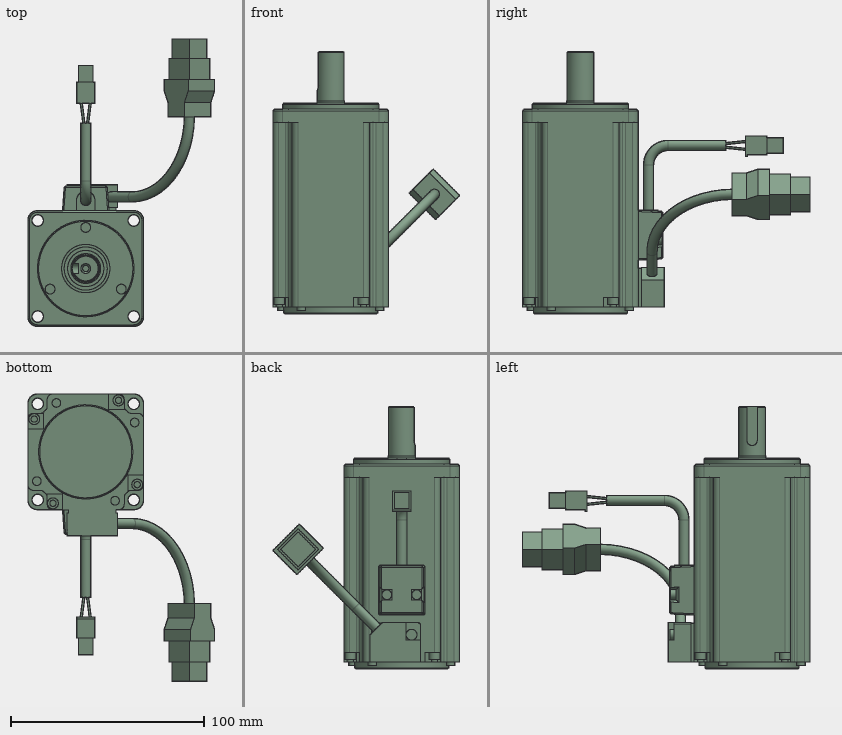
import cadquery as cq
import math


total_width = 96.8
total_depth = 149.0

motor_width = 60.0
half_width = motor_width / 2
notch_floor = 20.0
notch_bevel = 2.5
face_edge_radius = 3.0
bevel_radius = 2.1
flange_top = 102.5
flange_thickness = 6.9
flange_bottom = flange_top - flange_thickness
flange_corner_radius = 5.0
flange_edge_chamfer = 0.9
mount_hole_diameter = 5.8
mount_hole_spacing = 49.7

pilot_radius = 25.0
pilot_top = 105.6
rim_chamfer = 0.6
pilot_screw_circle = 21.3
pilot_screw_radius = 2.5
pilot_screw_recess = 0.5
shaft_radius = 7.0
shaft_top = 132.4
seat_radius = 7.1
seat_top = 106.6
key_width = 5.4
key_length = 20.3
key_floor = 3.9
centre_hole_radius = 1.6
centre_hole_depth = 9.0
countersink_diameter = 5.0
countersink_angle = 90

seal_steps = ((12.5, 0.5), (11.2, 2.2))
seal_lip_outer = 9.4
seal_lip_inner = 7.7
seal_lip_height = 1.3

cap_radius = 24.4
cap_height = 3.5
pocket_start = 11.9
pocket_floor = 21.9
pocket_height = 4.9
screw_x, screw_y = 17.0, -26.7
screw_radius = 2.8
screw_bottom = 1.3
screw_tip_radius = 1.6
foot_x, foot_y = 25.3, -15.2
foot_radius = 2.2
foot_height = 1.8

exit_bottom, exit_top = 24.3, 50.2
exit_root_width, exit_tip_width = 24.1, 22.3
exit_tip_height = 24.7
exit_reach = 42.7
exit_edge_chamfer = 0.7
exit_pocket_height = 8.3
exit_pocket_z = 34.8
exit_pocket_mouth = 11.6
exit_pocket_floor = 39.3
exit_pocket_depth = 6.5
exit_pocket_bevel = 1.5
exit_screw_x = 7.7
exit_screw_radius = 2.5
exit_screw_top = 42.3
pad_radius = 4.8
cable_radius = 2.7
power_y = 35.3
power_bend_start = 73.5
power_bend_radius = 10.1
power_cable_end = 75.4
power_axis_z = power_bend_start + power_bend_radius

power_body_start, power_body_end, power_tip_end = 85.5, 96.5, 105.1
power_body_width, power_body_height = 9.5, 9.8
power_tip_width, power_tip_height = 7.7, 8.2
power_lip_length, power_lip_drop = 1.0, 0.9
wire_radius = 0.6
wire_spread_x, wire_spread_z = 2.4, 2.1
wire_root = 0.9

encoder_left, encoder_right = -9.7, 16.5
encoder_near, encoder_far = 31.5, 43.5
encoder_base_inset = 0.7
encoder_base_top = 20.1
encoder_top = 20.5
encoder_chamfer = 0.9
encoder_cable_bevel = 6.5
encoder_pocket_width = 7.5
encoder_pocket_floor = 40.5
encoder_pocket_bottom = 11.3
encoder_screw_radius = 2.8
encoder_screw_height = 2.1
encoder_cable_y = 37.1
encoder_cable_bend = 42.1
encoder_cable_straight = 17.1

plug_tail_start, plug_taper_start, plug_taper_end = 78.5, 86.0, 92.0
plug_main_end, plug_mid_end = 98.0, 108.9
plug_tip_end = total_depth - half_width
plug_main_width, plug_main_height = 17.7, 19.4
plug_tail_width = 12.0
plug_mid_size = 15.0
plug_tip_size = 12.8
plug_half_diagonal = (plug_main_width + plug_main_height) / 2 * math.sin(math.pi / 4)
plug_x = total_width - half_width - plug_half_diagonal
plug_z = 58.4


def block(x_range, y_range, z_range):
    """Axis-aligned block between the given limits."""
    sizes = [high - low for low, high in (x_range, y_range, z_range)]
    corner = (x_range[0], y_range[0], z_range[0])
    return cq.Workplane("XY").box(*sizes, centered=False).translate(corner)


def cylinder(x, y, z_range, radius):
    """Vertical cylinder."""
    low, high = z_range
    return cq.Workplane("XY", origin=(x, y, low)).circle(radius).extrude(high - low)


def rod(start, end, radius):
    """Straight round rod between two points."""
    start, end = cq.Vector(*start), cq.Vector(*end)
    return cq.Workplane(cq.Solid.makeCylinder(radius, (end - start).Length, start, end - start))


def four_around(shape):
    """Four copies of a shape, a quarter turn apart around the shaft axis."""
    group = shape
    for turn in range(1, 4):
        group = group.union(shape.rotate((0, 0, 0), (0, 0, 1), 90 * turn))
    return group


def housing():
    """Square column with a rounded, bevelled notch along each corner."""
    outside = motor_width
    bevel_end = notch_floor + notch_bevel
    notch = (
        cq.Workplane("XY")
        .polyline([(bevel_end, notch_floor), (outside, notch_floor), (outside, outside),
                   (notch_floor, outside), (notch_floor, bevel_end)])
        .close()
        .extrude(flange_bottom)
    )
    column = block((-half_width, half_width), (-half_width, half_width), (0, flange_bottom))
    column = column.cut(four_around(notch))

    def on_face(edge):
        centre = edge.Center()
        return max(abs(centre.x), abs(centre.y)) > half_width - face_edge_radius

    column = column.edges("|Z").filter(on_face).fillet(face_edge_radius)

    def on_bevel(edge):
        centre = edge.Center()
        return max(abs(centre.x), abs(centre.y)) < bevel_end + bevel_radius

    return column.edges("|Z").filter(on_bevel).fillet(bevel_radius)


def bottom_details(column):
    """Screw pockets with their screws, feet and the round end cap."""
    pocket = block((pocket_start, notch_floor), (-motor_width, -pocket_floor), (0, pocket_height))
    screw = cylinder(screw_x, screw_y, (screw_bottom, pocket_height), screw_radius)
    screw = screw.union(cylinder(screw_x, screw_y, (0, pocket_height), screw_tip_radius))
    foot = cylinder(foot_x, foot_y, (-foot_height, 0), foot_radius)
    cap = cylinder(0, 0, (-cap_height, 0), cap_radius).faces("<Z").chamfer(rim_chamfer)
    column = column.cut(four_around(pocket))
    return column.union(four_around(screw)).union(four_around(foot)).union(cap)


def flange():
    """Mounting flange with the pilot, its screw recesses and the shaft seal."""
    plate = (
        cq.Workplane("XY", origin=(0, 0, flange_bottom))
        .rect(motor_width, motor_width)
        .extrude(flange_thickness)
        .edges("|Z").fillet(flange_corner_radius)
        .faces(">Z").edges().chamfer(flange_edge_chamfer)
    )
    pilot = cylinder(0, 0, (flange_bottom, pilot_top), pilot_radius).faces(">Z").chamfer(rim_chamfer)
    recesses = (
        cq.Workplane("XY", origin=(0, 0, pilot_top))
        .polarArray(pilot_screw_circle, 90, 360, 3)
        .circle(pilot_screw_radius)
        .extrude(-pilot_screw_recess)
    )
    mount_holes = (
        cq.Workplane("XY", origin=(0, 0, flange_bottom))
        .rect(mount_hole_spacing, mount_hole_spacing, forConstruction=True)
        .vertices()
        .circle(mount_hole_diameter / 2)
        .extrude(flange_thickness)
    )
    head = plate.union(pilot).cut(recesses).cut(mount_holes)
    for radius, depth in seal_steps:
        head = head.cut(cylinder(0, 0, (pilot_top - depth, pilot_top), radius))
    seal_floor = pilot_top - seal_steps[-1][1]
    lip = (
        cq.Workplane("XY", origin=(0, 0, seal_floor))
        .circle(seal_lip_outer)
        .circle(seal_lip_inner)
        .extrude(seal_lip_height)
    )
    return head.union(lip)


def shaft():
    """Keyed shaft with a countersunk centre hole."""
    bar = cylinder(0, 0, (flange_bottom, shaft_top), shaft_radius).faces(">Z").chamfer(rim_chamfer)
    bar = bar.faces(">Z").workplane().cskHole(
        2 * centre_hole_radius, countersink_diameter, countersink_angle, centre_hole_depth
    )
    bar = bar.union(cylinder(0, 0, (flange_bottom, seat_top), seat_radius))
    key_end_z = shaft_top - key_length + key_width / 2
    slot = block((-motor_width, -key_floor), (-key_width / 2, key_width / 2), (key_end_z, shaft_top))
    round_end = rod((-motor_width, 0, key_end_z), (-key_floor, 0, key_end_z), key_width / 2)
    return bar.cut(slot).cut(round_end)


def cable_exit():
    """Tapered box on the +Y face with a flat cable pad and a bevelled screw pocket on each side."""
    middle = (exit_top + exit_bottom) / 2
    box = (
        cq.Workplane("XZ", origin=(0, half_width, middle))
        .rect(exit_root_width, exit_top - exit_bottom)
        .workplane(offset=half_width - exit_reach)
        .rect(exit_tip_width, exit_tip_height)
        .loft(combine=True)
    )
    box = box.edges("not <Y").chamfer(exit_edge_chamfer)
    pad = cylinder(0, power_y, (middle, exit_top), pad_radius)
    pad = pad.union(block((-pad_radius, pad_radius), (half_width, power_y), (middle, exit_top)))
    box = box.union(pad)

    pocket_length = 2 * (exit_reach - exit_pocket_floor)
    mouth = (
        cq.Workplane("YZ", origin=(-exit_pocket_mouth, exit_reach, exit_pocket_z))
        .rect(pocket_length + 2 * exit_pocket_bevel, exit_pocket_height)
        .extrude(exit_pocket_bevel, taper=45)
    )
    pocket = (
        cq.Workplane("YZ", origin=(-exit_pocket_mouth, exit_reach, exit_pocket_z))
        .rect(pocket_length, exit_pocket_height - 2 * exit_pocket_bevel)
        .extrude(exit_pocket_depth)
        .union(mouth)
    )
    screw = rod(
        (-exit_screw_x, exit_pocket_floor, exit_pocket_z),
        (-exit_screw_x, exit_screw_top, exit_pocket_z),
        exit_screw_radius,
    )
    box = box.cut(pocket).cut(pocket.mirror("YZ"))
    return box.union(screw).union(screw.mirror("YZ"))


def power_tail():
    """Power cable rising from the exit box, bending to +Y and splitting into four wires."""
    bend_end = power_y + power_bend_radius
    middle = power_bend_radius * math.sin(math.pi / 4)
    path = (
        cq.Workplane("YZ")
        .moveTo(power_y, exit_top - exit_edge_chamfer)
        .lineTo(power_y, power_bend_start)
        .threePointArc((bend_end - middle, power_bend_start + middle), (bend_end, power_axis_z))
        .lineTo(power_cable_end, power_axis_z)
    )
    tail = (
        cq.Workplane("XY", origin=(0, power_y, exit_top - exit_edge_chamfer))
        .circle(cable_radius)
        .sweep(path)
    )

    def section(width, height, y_range):
        z_range = (power_axis_z - height / 2, power_axis_z + height / 2)
        return block((-width / 2, width / 2), y_range, z_range)

    tail = tail.union(section(power_body_width, power_body_height, (power_body_start, power_body_end)))
    tail = tail.union(section(power_tip_width, power_tip_height, (power_body_end, power_tip_end)))
    body_bottom = power_axis_z - power_body_height / 2
    lip = block(
        (-power_body_width / 2, power_body_width / 2),
        (power_body_start, power_body_start + power_lip_length),
        (body_bottom - power_lip_drop, body_bottom),
    )
    tail = tail.union(lip)

    for side in (-1, 1):
        for level in (-1, 1):
            start = (side * wire_root, power_cable_end - wire_radius, power_axis_z + level * wire_root)
            end = (
                side * wire_spread_x,
                power_body_start + wire_radius,
                power_axis_z + level * wire_spread_z,
            )
            tail = tail.union(rod(start, end, wire_radius))
    return tail


def encoder_box():
    """Encoder connector box on a thin base against the +Y face of the housing."""
    base_x = (encoder_left + encoder_base_inset, encoder_right - encoder_base_inset)
    base = block(base_x, (half_width, encoder_near), (0, encoder_base_top))
    box = block((encoder_left, encoder_right), (encoder_near, encoder_far), (0, encoder_top))
    box = box.faces("<X").edges(">Z").chamfer(encoder_chamfer)
    box = box.faces(">X").edges(">Z").chamfer(encoder_cable_bevel)
    pocket_right = encoder_left + encoder_pocket_width
    pocket = block(
        (encoder_left, pocket_right),
        (encoder_pocket_floor, encoder_far),
        (encoder_pocket_bottom, encoder_top),
    )
    screw_z = encoder_pocket_bottom + encoder_screw_radius
    screw_centre_x = pocket_right - encoder_screw_radius
    screw = rod(
        (screw_centre_x, encoder_pocket_floor, screw_z),
        (screw_centre_x, encoder_pocket_floor + encoder_screw_height, screw_z),
        encoder_screw_radius,
    )
    return base.union(box).cut(pocket).union(screw)


def encoder_tail():
    """Encoder cable and plug. In the tilted plane u runs along +X+Z and the plug axis is u = 0."""
    tilted = cq.Plane(origin=(plug_x, 0, plug_z), xDir=(1, 0, 1), normal=(-1, 0, 1))
    bend = encoder_cable_bend
    straight_start = -bend - encoder_cable_straight
    arc_offset = bend * math.sin(math.pi / 4)
    path = (
        cq.Workplane(tilted)
        .moveTo(straight_start, encoder_cable_y)
        .lineTo(-bend, encoder_cable_y)
        .threePointArc(
            (-bend + arc_offset, encoder_cable_y + bend - arc_offset),
            (0, encoder_cable_y + bend),
        )
    )
    start = tilted.toWorldCoords((straight_start, encoder_cable_y, 0))
    along = cq.Plane(origin=start, xDir=(0, 1, 0), normal=(1, 0, 1))
    cable = cq.Workplane(along).circle(cable_radius).sweep(path)

    tail_half, main_half = plug_tail_width / 2, plug_main_width / 2
    plug = (
        cq.Workplane(tilted)
        .polyline([
            (-tail_half, plug_tail_start), (tail_half, plug_tail_start),
            (tail_half, plug_taper_start), (main_half, plug_taper_end),
            (main_half, plug_main_end), (-main_half, plug_main_end),
            (-main_half, plug_taper_end), (-tail_half, plug_taper_start),
        ])
        .close()
        .extrude(plug_main_height / 2, both=True)
    )
    for size, start_y, end_y in (
        (plug_mid_size, plug_main_end, plug_mid_end),
        (plug_tip_size, plug_mid_end, plug_tip_end),
    ):
        step = (
            cq.Workplane(tilted)
            .center(0, (start_y + end_y) / 2)
            .rect(size, end_y - start_y)
            .extrude(size / 2, both=True)
        )
        plug = plug.union(step)
    return cable.union(plug)


result = (
    bottom_details(housing())
    .union(flange())
    .union(shaft())
    .union(cable_exit())
    .union(power_tail())
    .union(encoder_box())
    .union(encoder_tail())
)